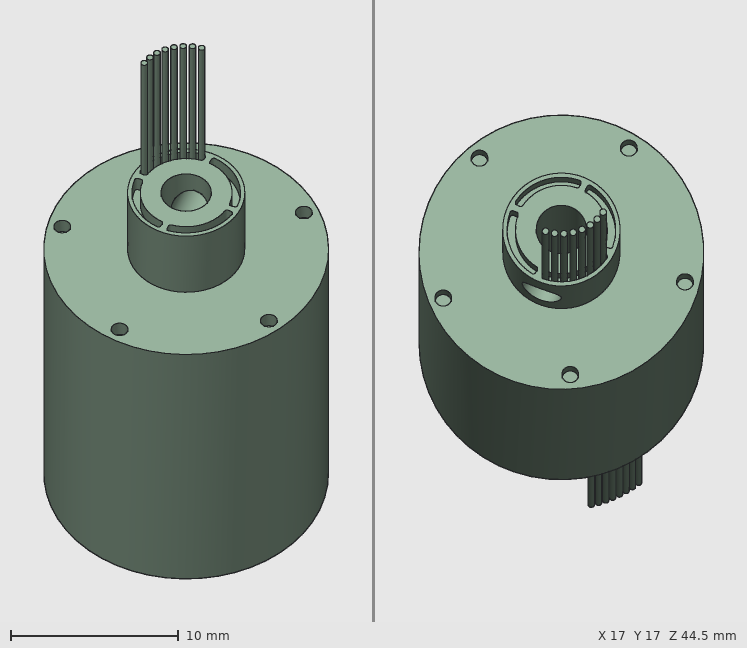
import cadquery as cq
import math

housing_diameter = 17.0
housing_height = 20.0

boss_diameter = 7.0
boss_height = 5.0
bore_diameter = 3.0
boss_top = housing_height + boss_height

set_screw_diameter = 2.5
set_screw_rise = 2.35
set_screw_height = housing_height + set_screw_rise

screw_count = 5
screw_hole_diameter = 1.0
screw_hole_depth = 1.0
screw_circle_radius = 7.6
first_screw_angle = 43.0

slot_count = 4
slot_mean_radius = 2.99
slot_width = 0.5
slot_corner_radius = 0.15
slot_depth = 1.0
slot_span = 82.0
first_slot_angle = 40.0

wire_diameter = 0.4
wire_length = 9.75
wire_embed = 0.5

top_wire_count = 8
top_wire_pitch_angle = 10.7
top_wire_middle_angle = first_slot_angle + 360 / slot_count

bottom_wire_count = 8
bottom_wire_circle_radius = 7.5
bottom_wire_pitch_angle = 3.44
bottom_wire_middle_angle = 136.8


def polar(radius, angle):
    """Point at a radius and an angle in degrees from +X."""
    return (radius * math.cos(math.radians(angle)), radius * math.sin(math.radians(angle)))


def cylinder(diameter, bottom, top, center=(0, 0)):
    """Upright cylinder between two heights."""
    return (
        cq.Workplane("XY", origin=(center[0], center[1], bottom))
        .circle(diameter / 2)
        .extrude(top - bottom)
    )


def arc_slot(middle_angle):
    """Cutter for one arc slot with rounded corners in the boss top face."""
    inner = slot_mean_radius - slot_width / 2
    outer = slot_mean_radius + slot_width / 2
    start = middle_angle - slot_span / 2
    end = middle_angle + slot_span / 2
    return (
        cq.Workplane("XY", origin=(0, 0, boss_top - slot_depth))
        .moveTo(*polar(inner, start))
        .lineTo(*polar(outer, start))
        .threePointArc(polar(outer, middle_angle), polar(outer, end))
        .lineTo(*polar(inner, end))
        .threePointArc(polar(inner, middle_angle), polar(inner, start))
        .close()
        .extrude(slot_depth)
        .edges("|Z")
        .fillet(slot_corner_radius)
    )


def add_wires(body, count, circle_radius, pitch_angle, middle_angle, bottom, top):
    """Fuse a row of upright wires, spaced along an arc, to the body."""
    first_angle = middle_angle - pitch_angle * (count - 1) / 2
    for i in range(count):
        center = polar(circle_radius, first_angle + i * pitch_angle)
        body = body.union(cylinder(wire_diameter, bottom, top, center))
    return body


body = cylinder(housing_diameter, 0, housing_height)
body = body.union(cylinder(boss_diameter, housing_height, boss_top))
body = body.cut(cylinder(bore_diameter, 0, boss_top))

set_screw_hole = (
    cq.Workplane("XZ", origin=(0, 0, set_screw_height))
    .circle(set_screw_diameter / 2)
    .extrude(-boss_diameter)
)
body = body.cut(set_screw_hole)

for i in range(screw_count):
    screw_center = polar(screw_circle_radius, first_screw_angle + i * 360 / screw_count)
    screw_bottom = housing_height - screw_hole_depth
    body = body.cut(cylinder(screw_hole_diameter, screw_bottom, housing_height, screw_center))

for i in range(slot_count):
    body = body.cut(arc_slot(first_slot_angle + i * 360 / slot_count))

body = add_wires(
    body, top_wire_count, slot_mean_radius, top_wire_pitch_angle, top_wire_middle_angle,
    boss_top - slot_depth - wire_embed, boss_top + wire_length,
)
body = add_wires(
    body, bottom_wire_count, bottom_wire_circle_radius, bottom_wire_pitch_angle,
    bottom_wire_middle_angle, -wire_length, wire_embed,
)

result = body